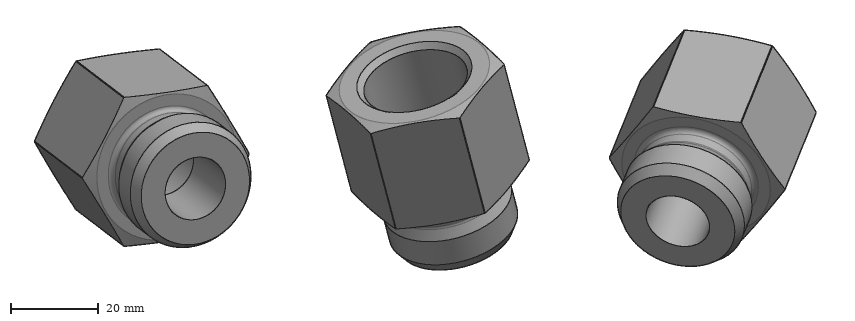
import cadquery as cq
import math

TOTAL_LENGTH = 45.0
HEX_LENGTH = 29.0

HEX_SIDES = 6
HEX_ACROSS_FLATS = 36.0
HEX_CORNER_DIAMETER = 41.44
HEX_FACE_DIAMETER = 35.0
HEX_CHAMFER_ANGLE = 15.0

SPIGOT_DIAMETER = 30.0
NECK_DIAMETER = 26.9
NECK_END = 32.7
NECK_FILLET = 1.2
SHOULDER_FILLET_SWEEP = 90.0
SPIGOT_CONE_ANGLE = 30.0

BORE_DIAMETER = 24.12
BORE_MOUTH_DIAMETER = 26.8
BORE_MOUTH_ANGLE = 45.0
BORE_DEPTH = 24.0
BORE_FLOOR_ANGLE = 59.0
THROUGH_DIAMETER = 15.0


def cone_length(large_diameter, small_diameter, angle_from_axis):
    """Axial length of a cone between two diameters."""
    return (large_diameter - small_diameter) / 2 / math.tan(math.radians(angle_from_axis))


def revolve_about_x(profile):
    """Turn a closed profile, drawn as X against radius, about the X axis."""
    return profile.close().revolve(360, (0, 0, 0), (1, 0, 0))


def make_hexagon():
    """Hexagon with flats facing +Z and -Z, its corners chamfered at both ends."""
    sharp_corner_diameter = HEX_ACROSS_FLATS / math.cos(math.pi / HEX_SIDES)
    prism = cq.Workplane("YZ").polygon(HEX_SIDES, sharp_corner_diameter).extrude(HEX_LENGTH)
    corner_radius = HEX_CORNER_DIAMETER / 2
    face_radius = HEX_FACE_DIAMETER / 2
    chamfer = cone_length(HEX_CORNER_DIAMETER, HEX_FACE_DIAMETER, 90 - HEX_CHAMFER_ANGLE)
    turned_blank = revolve_about_x(
        cq.Workplane("XY")
        .lineTo(0, face_radius)
        .lineTo(chamfer, corner_radius)
        .lineTo(HEX_LENGTH - chamfer, corner_radius)
        .lineTo(HEX_LENGTH, face_radius)
        .lineTo(HEX_LENGTH, 0)
    )
    return prism.intersect(turned_blank)


def make_spigot():
    """Spigot with a filleted undercut neck, a cone up to the thread and a tapered tip."""
    neck_radius = NECK_DIAMETER / 2
    spigot_radius = SPIGOT_DIAMETER / 2
    fillet_centre_radius = neck_radius + NECK_FILLET

    def neck_fillet_point(centre_x, degrees):
        """Point on a neck fillet, at an angle from the arc's innermost point towards +X."""
        angle = math.radians(degrees)
        x = centre_x + NECK_FILLET * math.sin(angle)
        radius = fillet_centre_radius - NECK_FILLET * math.cos(angle)
        return x, radius

    neck_start = HEX_LENGTH + NECK_FILLET
    cone_start_x, cone_start_radius = neck_fillet_point(NECK_END, SPIGOT_CONE_ANGLE)
    cone_end_x = cone_start_x + cone_length(SPIGOT_DIAMETER, 2 * cone_start_radius, SPIGOT_CONE_ANGLE)
    tip_start_x = TOTAL_LENGTH - cone_length(SPIGOT_DIAMETER, NECK_DIAMETER, SPIGOT_CONE_ANGLE)
    return revolve_about_x(
        cq.Workplane("XY")
        .moveTo(HEX_LENGTH, 0)
        .lineTo(HEX_LENGTH, fillet_centre_radius)
        .threePointArc(neck_fillet_point(neck_start, -SHOULDER_FILLET_SWEEP / 2), (neck_start, neck_radius))
        .lineTo(NECK_END, neck_radius)
        .threePointArc(
            neck_fillet_point(NECK_END, SPIGOT_CONE_ANGLE / 2),
            (cone_start_x, cone_start_radius),
        )
        .lineTo(cone_end_x, spigot_radius)
        .lineTo(tip_start_x, spigot_radius)
        .lineTo(TOTAL_LENGTH, neck_radius)
        .lineTo(TOTAL_LENGTH, 0)
    )


def make_bore():
    """Chamfered bore with a conical floor leading into the through hole."""
    mouth_length = cone_length(BORE_MOUTH_DIAMETER, BORE_DIAMETER, BORE_MOUTH_ANGLE)
    floor_length = cone_length(BORE_DIAMETER, THROUGH_DIAMETER, BORE_FLOOR_ANGLE)
    return revolve_about_x(
        cq.Workplane("XY")
        .lineTo(0, BORE_MOUTH_DIAMETER / 2)
        .lineTo(mouth_length, BORE_DIAMETER / 2)
        .lineTo(BORE_DEPTH, BORE_DIAMETER / 2)
        .lineTo(BORE_DEPTH + floor_length, THROUGH_DIAMETER / 2)
        .lineTo(TOTAL_LENGTH, THROUGH_DIAMETER / 2)
        .lineTo(TOTAL_LENGTH, 0)
    )


result = make_hexagon().union(make_spigot()).cut(make_bore())